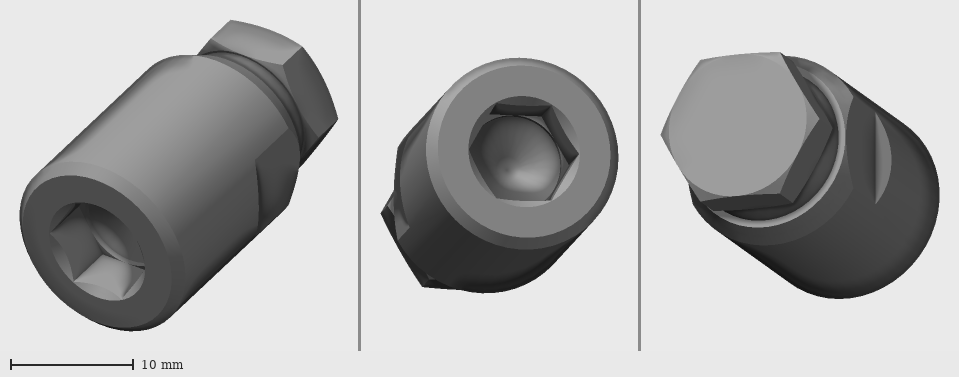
import cadquery as cq
import math

TOTAL_LENGTH = 26.5
HEAD_THICKNESS = 4.1
NECK_LENGTH = 2.35
HEAD_START = TOTAL_LENGTH - HEAD_THICKNESS
HOUSING_LENGTH = HEAD_START - NECK_LENGTH

HOUSING_RADIUS = 8.0
FRONT_CHAMFER = 0.82
REAR_CONE_LENGTH = 1.8
REAR_CONE_ANGLE = math.radians(30)
REAR_FACE_RADIUS = HOUSING_RADIUS - REAR_CONE_LENGTH * math.tan(REAR_CONE_ANGLE)

FLAT_WIDTH = 14.0
FLAT_START = 13.06
FLAT_CUT_MARGIN = 0.26

SOCKET_WIDTH = 7.95
SOCKET_DEPTH = 4.5
DRILL_DEPTH = 5.0
DRILL_POINT_ANGLE = math.radians(118)
COUNTERSINK_RADIUS = 4.65
COUNTERSINK_ANGLE = math.radians(90)

HEAD_WIDTH = 12.0
HEAD_CHAMFER_ANGLE = math.radians(30)
NECK_SPHERE_RADIUS = 6.39
NECK_CENTER_OFFSET = 0.26
NECK_SPHERE_CENTER = HOUSING_LENGTH - NECK_CENTER_OFFSET


def corner_diameter(width_across_flats):
    return width_across_flats / math.cos(math.pi / 6)


def turned(profile):
    """Solid of revolution about Y from a closed outline of (radius, y) points."""
    return cq.Workplane("XY").polyline(profile).close().revolve(360, (0, 0, 0), (0, 1, 0))


def hex_prism(width_across_flats, start, length):
    """Hexagonal prism along +Y with two corners on the X axis."""
    return (
        cq.Workplane("XZ", origin=(0, start, 0))
        .polygon(6, corner_diameter(width_across_flats))
        .extrude(-length)
    )


def make_flat_cutter(side):
    """Material removed from the housing at one wrench flat; side is +1 or -1."""
    flat_x = FLAT_WIDTH / 2
    outer_x = HOUSING_RADIUS + FLAT_CUT_MARGIN
    outline = [
        (side * flat_x, FLAT_START),
        (side * outer_x, FLAT_START - (outer_x - flat_x)),
        (side * outer_x, HOUSING_LENGTH),
        (side * flat_x, HOUSING_LENGTH),
    ]
    return cq.Workplane("XY").polyline(outline).close().extrude(HOUSING_RADIUS, both=True)


def make_socket():
    """Hexagon, drilled hole with conical bottom, and countersunk mouth."""
    drill_radius = SOCKET_WIDTH / 2
    point_length = drill_radius / math.tan(DRILL_POINT_ANGLE / 2)
    drill = turned([
        (0, 0),
        (drill_radius, 0),
        (drill_radius, DRILL_DEPTH),
        (0, DRILL_DEPTH + point_length),
    ])
    countersink_depth = COUNTERSINK_RADIUS / math.tan(COUNTERSINK_ANGLE / 2)
    countersink = turned([(0, 0), (COUNTERSINK_RADIUS, 0), (0, countersink_depth)])
    return hex_prism(SOCKET_WIDTH, 0, SOCKET_DEPTH).union(drill).union(countersink)


def make_housing():
    housing = turned([
        (0, 0),
        (HOUSING_RADIUS - FRONT_CHAMFER, 0),
        (HOUSING_RADIUS, FRONT_CHAMFER),
        (HOUSING_RADIUS, HOUSING_LENGTH - REAR_CONE_LENGTH),
        (REAR_FACE_RADIUS, HOUSING_LENGTH),
        (0, HOUSING_LENGTH),
    ])
    for side in (-1, 1):
        housing = housing.cut(make_flat_cutter(side))
    return housing.cut(make_socket())


def make_head():
    """Hexagon with the corners of both faces turned off at the chamfer angle."""
    face_radius = HEAD_WIDTH / 2
    corner_radius = corner_diameter(HEAD_WIDTH) / 2
    corner_drop = (corner_radius - face_radius) * math.tan(HEAD_CHAMFER_ANGLE)
    envelope = turned([
        (0, HEAD_START),
        (face_radius, HEAD_START),
        (corner_radius, HEAD_START + corner_drop),
        (corner_radius, TOTAL_LENGTH - corner_drop),
        (face_radius, TOTAL_LENGTH),
        (0, TOTAL_LENGTH),
    ])
    return hex_prism(HEAD_WIDTH, HEAD_START, HEAD_THICKNESS).intersect(envelope)


def make_neck():
    """Spherical zone between the housing face and the head."""

    def sphere_radius_at(y):
        return math.sqrt(NECK_SPHERE_RADIUS**2 - (y - NECK_SPHERE_CENTER) ** 2)

    middle = HOUSING_LENGTH + NECK_LENGTH / 2
    return (
        cq.Workplane("XY")
        .moveTo(0, HOUSING_LENGTH)
        .lineTo(sphere_radius_at(HOUSING_LENGTH), HOUSING_LENGTH)
        .threePointArc((sphere_radius_at(middle), middle), (sphere_radius_at(HEAD_START), HEAD_START))
        .lineTo(0, HEAD_START)
        .close()
        .revolve(360, (0, 0, 0), (0, 1, 0))
    )


housing = make_housing()
hex_stud = make_head().union(make_neck())

result = cq.Compound.makeCompound([housing.val(), hex_stud.val()])